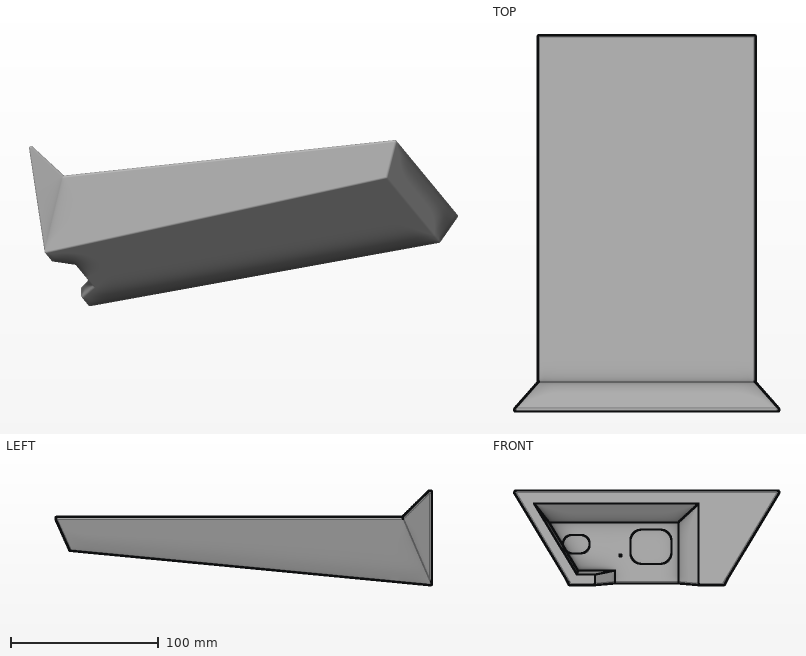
import cadquery as cq
import math

LENGTH = 254.7
HEIGHT = 64.2

EDGE_RADIUS = 1.4

FRONT_BOTTOM_WIDTH = 105.0
DECK_WIDTH = 149.2
DECK_HEIGHT = 46.5
REAR_OVERHANG = 10.5
REAR_BOTTOM_HEIGHT = 23.5

FLANGE_TOP_WIDTH = 184.6
FLANGE_SLOPE = 44.5

POCKET_TOP = 55.5
POCKET_BOTTOM = 7.5
POCKET_LEFT_TOP = -76.1
POCKET_LEFT_BOTTOM = -47.0
OPENING_HALF_WIDTH = 35.1

POCKET_DEPTH = 12.5
POCKET_SIDE_LEAN = 13.8
POCKET_TOP_LEAN = 12.7
POCKET_BOTTOM_LEAN = 2.8
POCKET_LEFT_LEAN = 2.3

RECESS_DEPTH = 0.3
OVAL_WIDTH = 18.0
OVAL_HEIGHT = 12.5
OVAL_RADIUS = 6.0
OVAL_CENTER = (-47.5, 28.0)
WINDOW_WIDTH = 27.8
WINDOW_HEIGHT = 23.2
WINDOW_RADIUS = 7.6
WINDOW_CENTER = (2.8, 26.2)
PINHOLE_DIAMETER = 1.3
PINHOLE_CENTER = (-17.8, 20.5)

CLEARANCE = 2.5
TOLERANCE = 0.0003


def rounding_loss(corner_angle):
    """Length lost by rounding a corner of this angle, measured parallel to one of its sides."""
    return EDGE_RADIUS / math.tan(corner_angle / 2) - EDGE_RADIUS


rear_angle = math.atan2(DECK_HEIGHT - REAR_BOTTOM_HEIGHT, REAR_OVERHANG)
sharp_length = LENGTH + rounding_loss(rear_angle)
bottom_slope = REAR_BOTTOM_HEIGHT / (sharp_length - REAR_OVERHANG)
front_bottom_angle = math.pi / 2 - math.atan(bottom_slope)
flange_tip_angle = math.radians(90 - FLANGE_SLOPE)
sharp_height = HEIGHT + rounding_loss(flange_tip_angle) + rounding_loss(front_bottom_angle)
flange_depth = (sharp_height - DECK_HEIGHT) / math.tan(math.radians(FLANGE_SLOPE))


def polyhedron(loops):
    """Solid bounded by flat faces, each given as a loop of corner points."""
    faces = []
    for loop in loops:
        corners = [cq.Vector(*point) for point in loop]
        faces.append(cq.Face.makeFromWires(cq.Wire.makePolygon(corners, close=True)))
    return cq.Workplane(obj=cq.Solid.makeSolid(cq.Shell.makeShell(faces)))


def lofted(mouth, floor):
    """Straight-sided solid from an XZ outline on the front plane to one at pocket depth."""
    sketch = cq.Workplane("XZ").polyline(mouth).close()
    return sketch.workplane(offset=-POCKET_DEPTH).polyline(floor).close().loft(ruled=True)


def make_body():
    side_profile = [
        (0, 0),
        (sharp_length - REAR_OVERHANG, REAR_BOTTOM_HEIGHT),
        (sharp_length, DECK_HEIGHT),
        (0, DECK_HEIGHT),
    ]
    cross_section = [
        (-FRONT_BOTTOM_WIDTH / 2, 0),
        (FRONT_BOTTOM_WIDTH / 2, 0),
        (DECK_WIDTH / 2, DECK_HEIGHT),
        (-DECK_WIDTH / 2, DECK_HEIGHT),
    ]
    wedge = cq.Workplane("YZ").polyline(side_profile).close().extrude(DECK_WIDTH / 2, both=True)
    trough = cq.Workplane("XZ").polyline(cross_section).close().extrude(-sharp_length)
    return wedge.intersect(trough)


def make_flange():
    def pair(half_width, y, z):
        return (-half_width, y, z), (half_width, y, z)

    bottom_left, bottom_right = pair(FRONT_BOTTOM_WIDTH / 2, 0, 0)
    top_left, top_right = pair(FLANGE_TOP_WIDTH / 2, 0, sharp_height)
    fold_left, fold_right = pair(DECK_WIDTH / 2, flange_depth, DECK_HEIGHT)
    return polyhedron([
        [bottom_left, bottom_right, top_right, top_left],
        [top_left, top_right, fold_right, fold_left],
        [bottom_left, bottom_right, fold_right, fold_left],
        [bottom_left, top_left, fold_left],
        [bottom_right, top_right, fold_right],
    ])


def make_pocket():
    floor_half_width = OPENING_HALF_WIDTH - POCKET_SIDE_LEAN
    floor_top = POCKET_TOP - POCKET_TOP_LEAN
    floor_bottom = POCKET_BOTTOM + POCKET_BOTTOM_LEAN
    left_slope = (POCKET_LEFT_BOTTOM - POCKET_LEFT_TOP) / (POCKET_TOP - POCKET_BOTTOM)

    def outline(left_top, left_bottom, right, top, bottom):
        return [(left_top, top), (right, top), (right, bottom), (left_bottom, bottom)]

    def floor_left(z):
        return POCKET_LEFT_TOP + (POCKET_TOP - z) * left_slope + POCKET_LEFT_LEAN

    chamber = lofted(
        outline(POCKET_LEFT_TOP, POCKET_LEFT_BOTTOM, OPENING_HALF_WIDTH, POCKET_TOP, POCKET_BOTTOM),
        outline(floor_left(floor_top), floor_left(floor_bottom), floor_half_width, floor_top, floor_bottom),
    )
    gap = lofted(
        outline(-OPENING_HALF_WIDTH, -OPENING_HALF_WIDTH, OPENING_HALF_WIDTH, POCKET_TOP, -CLEARANCE),
        outline(-floor_half_width, -floor_half_width, floor_half_width, floor_top, -CLEARANCE),
    )
    return chamber.union(gap)


def outer_edges(part, pocket):
    """All edges except those that lie on the pocket above the sloping underside."""
    chosen = []
    for edge in part.edges().vals():
        middle = edge.Center()
        on_underside = abs(middle.z - middle.y * bottom_slope) < TOLERANCE
        on_pocket = pocket.val().distance(cq.Vertex.makeVertex(*middle.toTuple())) < TOLERANCE
        if on_underside or not on_pocket:
            chosen.append(edge)
    return part.newObject(chosen)


def make_recesses():
    floor = cq.Workplane("XZ", origin=(0, POCKET_DEPTH, 0))
    oval = floor.center(*OVAL_CENTER).rect(OVAL_WIDTH, OVAL_HEIGHT).extrude(-RECESS_DEPTH)
    oval = oval.edges("|Y").fillet(OVAL_RADIUS)
    window = floor.center(*WINDOW_CENTER).rect(WINDOW_WIDTH, WINDOW_HEIGHT).extrude(-RECESS_DEPTH)
    window = window.edges("|Y").fillet(WINDOW_RADIUS)
    pinhole = floor.center(*PINHOLE_CENTER).circle(PINHOLE_DIAMETER / 2).extrude(-RECESS_DEPTH)
    return oval.union(window).union(pinhole)


pocket = make_pocket()
shell = make_body().union(make_flange()).cut(pocket)
shell = outer_edges(shell, pocket).fillet(EDGE_RADIUS)
result = shell.cut(make_recesses())